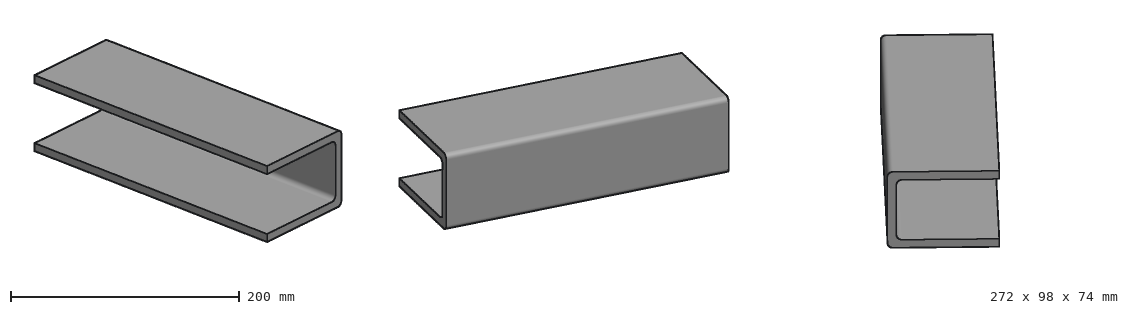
import cadquery as cq

length = 272.0
depth = 98.0
height = 74.0

wall = 8.0
corner_radius = 5.0


def bar_with_rounded_back(bar_depth, bar_height):
    """Full-length bar from the open side, with its two back edges rounded."""
    bar = cq.Workplane("XY").box(length, bar_depth, bar_height, centered=(True, False, True))
    return bar.faces(">Y").edges("|X").fillet(corner_radius)


outer_body = bar_with_rounded_back(depth, height)
inner_space = bar_with_rounded_back(depth - wall, height - 2 * wall)

result = outer_body.cut(inner_space)